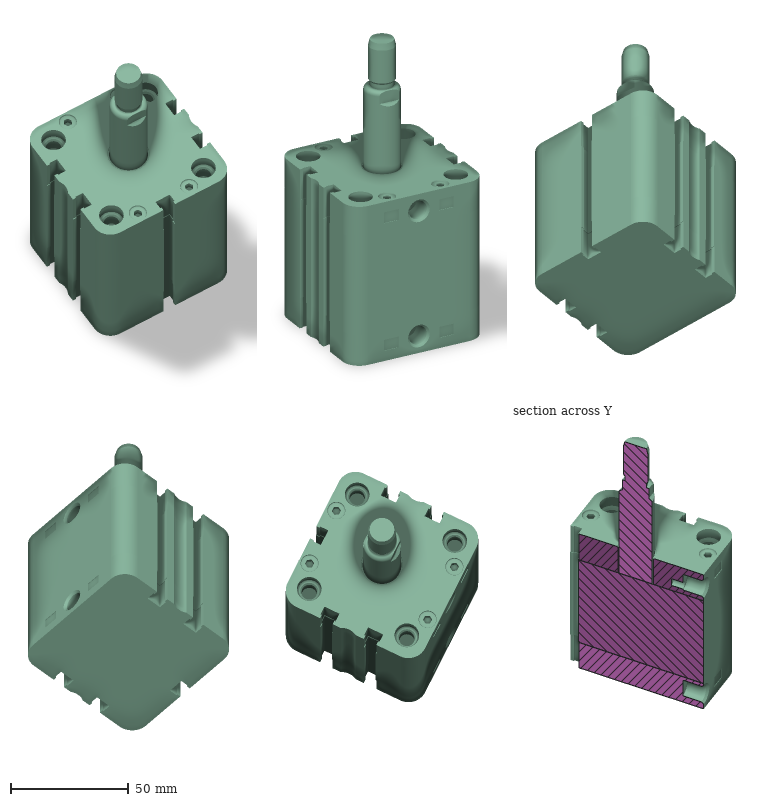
import cadquery as cq
import math

TOTAL_HEIGHT = 135.0
BODY_HEIGHT = 75.0
BODY_WIDTH = 65.5
CORNER_RADIUS = 8.0
CAP_THICKNESS = 14.5

HALF_WIDTH = BODY_WIDTH / 2
FRONT_CAP_BASE = BODY_HEIGHT - CAP_THICKNESS
BARREL_LENGTH = FRONT_CAP_BASE - CAP_THICKNESS

SLOT_OFFSET = 10.4
SLOT_LIP_DEPTH = 1.6
BARREL_SLOT_DEPTH = 5.1
BARREL_SLOT_MOUTH = 5.4
BARREL_SLOT_INNER_WIDTH = 6.6
CAP_SLOT_CLEARANCE = 0.3
GROOVE_WIDTH = 7.0
GROOVE_DEPTH = 1.0

MOUNT_OFFSET = 23.2
MOUNT_COUNTERBORE_DIAMETER = 10.5
MOUNT_COUNTERBORE_DEPTH = 4.9
MOUNT_CHAMFER_DIAMETER = 8.0
MOUNT_HOLE_DIAMETER = 6.6
MOUNT_HOLE_DEPTH = 10.8

SCREW_X = 28.1
SCREW_Y = 13.0
SCREW_RECESS_DIAMETER = 7.7
SCREW_FLOOR_DIAMETER = 7.3
SCREW_RECESS_DEPTH = 0.5
SOCKET_ACROSS_FLATS = 3.4
SOCKET_DEPTH = 2.7

PORT_END_DISTANCE = 8.0
PORT_DIAMETER = 8.5
PORT_MOUTH_DIAMETER = 10.5
PORT_DEPTH = 10.0
PASSAGE_DIAMETER = 3.5
PASSAGE_DROP = 2.0
PASSAGE_DEPTH = 5.4

PAD_END_DISTANCE = 7.4
PAD_OFFSET = 13.5
PAD_WIDTH = 6.9
PAD_HEIGHT = 5.1
PAD_DEPTH = 0.3

ROD_DIAMETER = 16.0
ROD_HOLE_DIAMETER = 16.6
ROD_GAP_DIAMETER = 17.7
ROD_GAP_MOUTH_DIAMETER = 18.0
ROD_GAP_DEPTH = 0.3
SHOULDER_Z = 113.3
SHOULDER_RADIUS = 2.0
NECK_DIAMETER = 10.5
NECK_TOP_Z = 115.5
THREAD_DIAMETER = 12.0
THREAD_BASE_Z = 116.5
TIP_DIAMETER = 10.5
TIP_LENGTH = 3.0
FLAT_ACROSS = 13.0
FLAT_BASE_Z = 107.7
FLAT_RAMP_HEIGHT = 1.4


def slot_cutter(length, clearance):
    """T-slot prism centred on X = 0 that opens at Y = 0 and runs inward to -Y."""
    mouth = BARREL_SLOT_MOUTH + 2 * clearance
    inner_width = BARREL_SLOT_INNER_WIDTH + 2 * clearance
    depth = BARREL_SLOT_DEPTH + clearance
    lip = cq.Workplane("XY").box(mouth, 2 * SLOT_LIP_DEPTH, length, centered=(True, True, False))
    inner = (
        cq.Workplane("XY")
        .box(inner_width, depth - SLOT_LIP_DEPTH, length, centered=(True, False, False))
        .translate((0, -depth, 0))
    )
    return lip.union(inner)


def groove_cutter(length):
    """Shallow circular-arc groove in the face Y = 0."""
    half = GROOVE_WIDTH / 2
    return (
        cq.Workplane("XY")
        .moveTo(-half, 0)
        .threePointArc((0, -GROOVE_DEPTH), (half, 0))
        .close()
        .extrude(length)
    )


def profile_block(length, clearance=0.0):
    """Rounded square block with its sensor slots and side grooves, standing on Z = 0."""
    block = (
        cq.Workplane("XY")
        .box(BODY_WIDTH, BODY_WIDTH, length, centered=(True, True, False))
        .edges("|Z")
        .fillet(CORNER_RADIUS)
    )
    slot = slot_cutter(length, clearance)
    slot_pair = slot.translate((-SLOT_OFFSET, 0, 0)).union(slot.translate((SLOT_OFFSET, 0, 0)))
    side = slot_pair.union(groove_cutter(length)).translate((0, HALF_WIDTH, 0))
    for turn in (0, 180):
        block = block.cut(side.rotate((0, 0, 0), (0, 0, 1), turn))
    single = slot.translate((0, HALF_WIDTH, 0)).rotate((0, 0, 0), (0, 0, 1), -90)
    return block.cut(single)


def cut_port(cap, z, pad_z):
    """Blind chamfered port in the -X face, with a marking pad on each side."""
    chamfer = (PORT_MOUTH_DIAMETER - PORT_DIAMETER) / 2
    port = (
        cq.Workplane("XZ")
        .polyline([
            (-HALF_WIDTH, z),
            (-HALF_WIDTH, z + PORT_MOUTH_DIAMETER / 2),
            (-HALF_WIDTH + chamfer, z + PORT_DIAMETER / 2),
            (-HALF_WIDTH + PORT_DEPTH, z + PORT_DIAMETER / 2),
            (-HALF_WIDTH + PORT_DEPTH, z),
        ])
        .close()
        .revolve(360, (0, z, 0), (1, z, 0))
    )
    cap = cap.cut(port)
    for side in (-1, 1):
        pad = cq.Workplane("XY").box(2 * PAD_DEPTH, PAD_WIDTH, PAD_HEIGHT)
        cap = cap.cut(pad.translate((-HALF_WIDTH, side * PAD_OFFSET, pad_z)))
    return cap


def make_barrel():
    return profile_block(BARREL_LENGTH).translate((0, 0, CAP_THICKNESS))


def make_rear_cap():
    return cut_port(profile_block(CAP_THICKNESS, CAP_SLOT_CLEARANCE), PORT_END_DISTANCE, PAD_END_DISTANCE)


def cut_mounting_holes(cap):
    """Counterbored corner holes with a chamfered blind pilot."""
    points = [(x, y) for x in (-MOUNT_OFFSET, MOUNT_OFFSET) for y in (-MOUNT_OFFSET, MOUNT_OFFSET)]
    shoulder = BODY_HEIGHT - MOUNT_COUNTERBORE_DEPTH
    chamfer = (MOUNT_CHAMFER_DIAMETER - MOUNT_HOLE_DIAMETER) / 2
    cutter = (
        cq.Workplane("XZ")
        .polyline([
            (0, BODY_HEIGHT),
            (MOUNT_COUNTERBORE_DIAMETER / 2, BODY_HEIGHT),
            (MOUNT_COUNTERBORE_DIAMETER / 2, shoulder),
            (MOUNT_CHAMFER_DIAMETER / 2, shoulder),
            (MOUNT_HOLE_DIAMETER / 2, shoulder - chamfer),
            (MOUNT_HOLE_DIAMETER / 2, BODY_HEIGHT - MOUNT_HOLE_DEPTH),
            (0, BODY_HEIGHT - MOUNT_HOLE_DEPTH),
        ])
        .close()
        .revolve(360, (0, 0, 0), (0, 1, 0))
    )
    for x, y in points:
        cap = cap.cut(cutter.translate((x, y, 0)))
    return cap


def cut_screw_recesses(cap):
    """Shallow conical recesses, each with a hexagonal socket in its floor."""
    points = [(x, y) for x in (-SCREW_X, SCREW_X) for y in (-SCREW_Y, SCREW_Y)]
    socket_corners = SOCKET_ACROSS_FLATS / math.cos(math.radians(30))
    recess = (
        cq.Workplane("XY")
        .circle(SCREW_RECESS_DIAMETER / 2)
        .workplane(offset=-SCREW_RECESS_DEPTH)
        .circle(SCREW_FLOOR_DIAMETER / 2)
        .loft()
    )
    socket = (
        cq.Workplane("XY")
        .polygon(6, socket_corners)
        .extrude(-SCREW_RECESS_DEPTH - SOCKET_DEPTH)
        .rotate((0, 0, 0), (0, 0, 1), 30)
    )
    cutter = recess.union(socket)
    for x, y in points:
        cap = cap.cut(cutter.translate((x, y, BODY_HEIGHT)))
    return cap


def make_front_cap():
    cap = profile_block(CAP_THICKNESS, CAP_SLOT_CLEARANCE).translate((0, 0, FRONT_CAP_BASE))
    cap = cut_mounting_holes(cap)
    cap = cut_screw_recesses(cap)

    top = cq.Workplane("XY", origin=(0, 0, BODY_HEIGHT))
    cap = cap.cut(top.circle(ROD_HOLE_DIAMETER / 2).extrude(-CAP_THICKNESS))
    cap = cap.cut(top.circle(ROD_GAP_DIAMETER / 2).extrude(-ROD_GAP_DEPTH))
    mouth_chamfer = (ROD_GAP_MOUTH_DIAMETER - ROD_GAP_DIAMETER) / 2
    mouth = (
        top.circle(ROD_GAP_MOUTH_DIAMETER / 2)
        .workplane(offset=-mouth_chamfer)
        .circle(ROD_GAP_DIAMETER / 2)
        .loft()
    )
    cap = cap.cut(mouth)

    port_z = BODY_HEIGHT - PORT_END_DISTANCE
    cap = cut_port(cap, port_z, BODY_HEIGHT - PAD_END_DISTANCE)
    passage = (
        cq.Workplane("YZ", origin=(-HALF_WIDTH + PORT_DEPTH, 0, port_z - PASSAGE_DROP))
        .circle(PASSAGE_DIAMETER / 2)
        .extrude(PASSAGE_DEPTH)
    )
    return cap.cut(passage)


def make_rod():
    rod_radius = ROD_DIAMETER / 2
    arc_drop = SHOULDER_RADIUS * (1 - math.sqrt(0.5))
    rod = (
        cq.Workplane("XZ")
        .moveTo(0, FRONT_CAP_BASE)
        .lineTo(rod_radius, FRONT_CAP_BASE)
        .lineTo(rod_radius, SHOULDER_Z - SHOULDER_RADIUS)
        .threePointArc(
            (rod_radius - arc_drop, SHOULDER_Z - arc_drop),
            (rod_radius - SHOULDER_RADIUS, SHOULDER_Z),
        )
        .lineTo(NECK_DIAMETER / 2, SHOULDER_Z)
        .lineTo(NECK_DIAMETER / 2, NECK_TOP_Z)
        .lineTo(THREAD_DIAMETER / 2, THREAD_BASE_Z)
        .lineTo(THREAD_DIAMETER / 2, TOTAL_HEIGHT - TIP_LENGTH)
        .lineTo(TIP_DIAMETER / 2, TOTAL_HEIGHT)
        .lineTo(0, TOTAL_HEIGHT)
        .close()
        .revolve(360, (0, 0, 0), (0, 1, 0))
    )

    flat_x = FLAT_ACROSS / 2
    flat = (
        cq.Workplane("XZ")
        .polyline([
            (flat_x, SHOULDER_Z),
            (flat_x, FLAT_BASE_Z),
            (rod_radius, FLAT_BASE_Z - FLAT_RAMP_HEIGHT),
            (rod_radius, SHOULDER_Z),
        ])
        .close()
        .extrude(rod_radius, both=True)
    )
    for turn in (0, 180):
        rod = rod.cut(flat.rotate((0, 0, 0), (0, 0, 1), turn))
    return rod


rear_cap = make_rear_cap()
barrel = make_barrel()
front_cap = make_front_cap()
rod = make_rod()

result = cq.Compound.makeCompound([rear_cap.val(), barrel.val(), front_cap.val(), rod.val()])